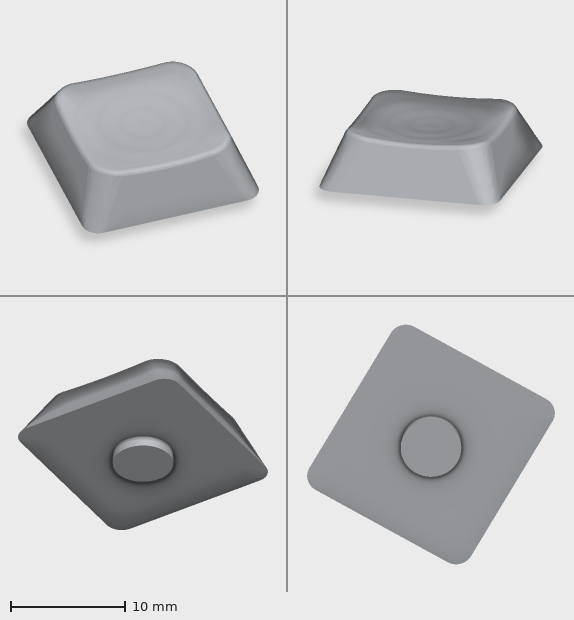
import cadquery as cq

base_length = 17.3
base_width = 16.3
base_corner_radius = 1.5
loft_height = 5.0
top_length = 12.5
top_width = 12.5
top_corner_radius = 2.5

dish_radius = 39.96
dish_bottom_height = 3.77
rim_radius = 0.5

stem_diameter = 5.3
stem_height = 1.0


def rounded_rectangle(length, width, corner_radius):
    return cq.Sketch().rect(length, width).vertices().fillet(corner_radius)


def make_tapered_body():
    base = rounded_rectangle(base_length, base_width, base_corner_radius)
    top = rounded_rectangle(top_length, top_width, top_corner_radius)
    top_plane = cq.Location(cq.Vector(0, 0, loft_height))
    return cq.Workplane("XY").placeSketch(base, top.moved(top_plane)).loft(ruled=True)


def cut_dish(body):
    sphere_center = (0, 0, dish_bottom_height + dish_radius)
    dish = cq.Workplane("XY").sphere(dish_radius).translate(sphere_center)
    return body.cut(dish)


def round_rim(body):
    return body.faces("%SPHERE").edges().fillet(rim_radius)


def make_stem():
    return cq.Workplane("XY").circle(stem_diameter / 2).extrude(-stem_height)


result = round_rim(cut_dish(make_tapered_body())).union(make_stem())